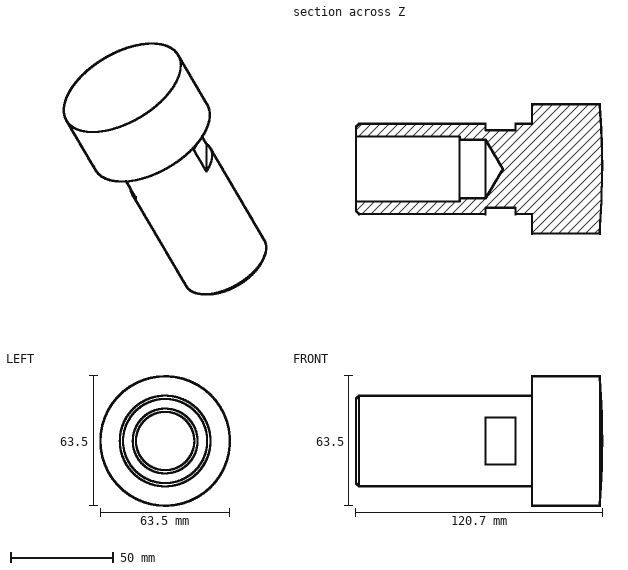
import cadquery as cq
import math

total_length = 120.65
head_diameter = 63.5
crown_height = 1.27
shank_diameter = 44.45
shank_length = 86.1
shank_chamfer = 1.6

flat_start = 63.5
flat_width = 14.6
across_flats = 38.1

bore_diameter = 31.75
bore_depth = 50.8
drill_diameter = 28.575
drill_depth = 63.5
drill_point_angle = 119.0

head_radius = head_diameter / 2
shank_radius = shank_diameter / 2
bore_radius = bore_diameter / 2
drill_radius = drill_diameter / 2
head_rim_x = total_length - crown_height
drill_tip_length = drill_radius / math.tan(math.radians(drill_point_angle / 2))
crown_radius = (head_radius**2 + crown_height**2) / (2 * crown_height)


def revolve_about_x(profile):
    """Spin a closed profile (x along the axis, y as radius) about the X axis."""
    return profile.revolve(360, (0, 0, 0), (1, 0, 0))


def make_body():
    """Chamfered shank and larger head, closed by a shallow spherical crown."""
    mid_radius = head_radius / 2
    crown_drop = crown_radius - math.sqrt(crown_radius**2 - mid_radius**2)
    crown_mid = (total_length - crown_drop, mid_radius)
    profile = (
        cq.Workplane("XY")
        .moveTo(0, 0)
        .lineTo(0, shank_radius - shank_chamfer)
        .lineTo(shank_chamfer, shank_radius)
        .lineTo(shank_length, shank_radius)
        .lineTo(shank_length, head_radius)
        .lineTo(head_rim_x, head_radius)
        .threePointArc(crown_mid, (total_length, 0))
        .close()
    )
    return revolve_about_x(profile)


def make_bore():
    """Wide bore stepping down to a drilled hole with a conical bottom."""
    profile = (
        cq.Workplane("XY")
        .moveTo(0, 0)
        .lineTo(0, bore_radius)
        .lineTo(bore_depth, bore_radius)
        .lineTo(bore_depth, drill_radius)
        .lineTo(drill_depth, drill_radius)
        .lineTo(drill_depth + drill_tip_length, 0)
        .close()
    )
    return revolve_about_x(profile)


def make_flat_cut(side):
    """Block that cuts one wrench flat; side is +1 for +Y and -1 for -Y."""
    cut_depth = (shank_diameter - across_flats) / 2
    flat_center = (
        flat_start + flat_width / 2,
        side * (across_flats + cut_depth) / 2,
        0,
    )
    return cq.Workplane("XY").box(flat_width, cut_depth, shank_diameter).translate(flat_center)


result = make_body().cut(make_bore())
for side in (1, -1):
    result = result.cut(make_flat_cut(side))